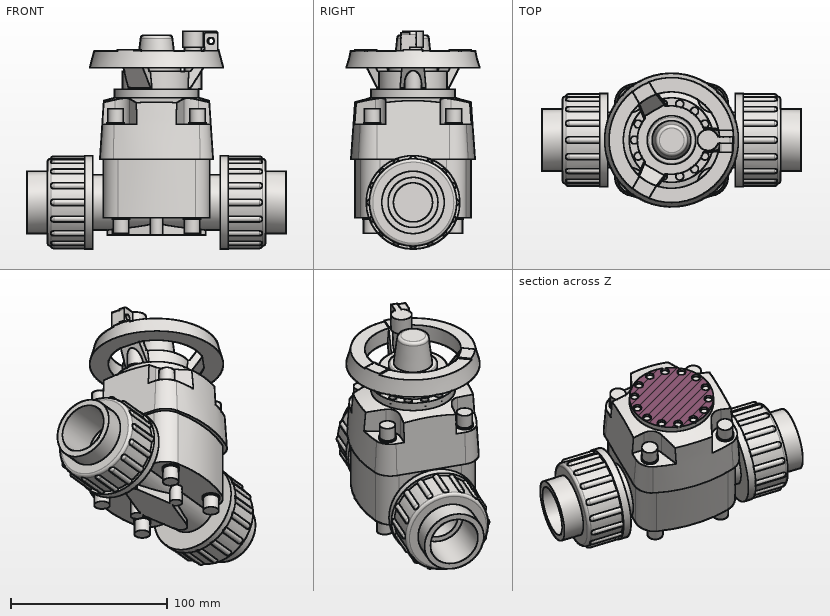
import cadquery as cq
import math


TOTAL_LENGTH = 166.0
TOTAL_HEIGHT = 139.8
PIPE_DIAMETER = 40.0
SOCKET_DIAMETER = 32.0
SOCKET_DEPTH = 29.9
BORE_DIAMETER = 25.0
BORE_DEPTH = 41.5
NECK_DIAMETER = 35.7

NUT_OUTER_X = 69.9
NUT_INNER_X = 40.8
NUT_DIAMETER = 56.0
NUT_FLANGE_DIAMETER = 60.0
NUT_FLANGE_WIDTH = 5.1
NUT_EDGE_RADIUS = 2.0
RIB_COUNT = 16
RIB_DIAMETER = 4.2
RIB_TIP_RADIUS = 29.5

BODY_BOTTOM_Z = -10.0
BODY_TOP_Z = 27.5
BONNET_SHOULDER_Z = 50.1

BODY_OUTLINE = (34.2, 37.4, 21.2, (24.9, 33.9))
BONNET_LOWER_OUTLINE = (36.4, 39.8, 23.2, (27.9, 35.2))
BONNET_UPPER_OUTLINE = (33.7, 37.0, 23.2, (26.9, 33.0))

FLANGE_BOTTOM_Z = 67.0
FLANGE_TOP_Z = 72.5
FLANGE_RADIUS = 27.0
BONNET_ROOF_ANGLE = 15.5

POCKET_CENTER_X = 26.7
POCKET_CENTER_Y = 27.5
POCKET_RADIUS = 10.0
POCKET_WALL_TILT = 20.0
POCKET_REACH = 24.9

BOLT_DIAMETER = 10.1
BOLT_COLLAR_DIAMETER = 11.1
BOLT_COLLAR_HEIGHT = 1.0
BOLT_HEIGHT = 10.0
UPPER_BOLT = (26.2, 26.0)
LOWER_BOLT = (22.7, 26.7)

INDEX_HOLE_COUNT = 14
INDEX_HOLE_DIAMETER = 5.0
INDEX_CIRCLE_RADIUS = 23.7
INDEX_HOLE_DEPTH = 3.3

FOOT_BOTTOM_Z = -20.9
FOOT_PLATE_HALF_LENGTH = 28.4
FOOT_PLATE_TIP_Y = 12.0
FOOT_PLATE_END_Y = 4.5
FOOT_POST_DIAMETER = 8.1
FOOT_POST_X = 27.5
FOOT_POST_Y = 15.1

HUB_RADIUS = 21.9
HUB_TOP_Z = 84.0
WHEEL_BOTTOM_Z = 86.2
WHEEL_TOP_Z = 97.1
WHEEL_BOTTOM_RADIUS = 85.8 / 2
WHEEL_TOP_RADIUS = 40.0
WHEEL_INNER_RADIUS = 30.9
SPOKE_ANGLES = (0, 120, 240)
SPOKE_TOP_Z = 98.0
SPOKE_TOP_WIDTH = 12.3
SPOKE_DRAFT_ANGLE = 5.0
SPOKE_BOTTOM_Z = 73.5

STEM_COLLAR_DIAMETER = 31.2
STEM_COLLAR_HEIGHT = 3.0
STEM_COLLAR_FILLET = 0.8
STEM_BOTTOM_RADIUS = 12.5
STEM_SHOULDER_RADIUS = 10.0
STEM_TOP_Z = 107.2
STEM_FILLET = 2.3

LOCK_X = 23.4
LOCK_PIN_DIAMETER = 11.0
LOCK_HEAD_DIAMETER = 13.5
LOCK_HEAD_BOTTOM_Z = 99.3
LOCK_TOP_Z = TOTAL_HEIGHT - NUT_FLANGE_DIAMETER / 2
LOCK_TAB_END_X = 39.3
LOCK_TAB_THICKNESS = 4.0
LOCK_TAB_FILLET = 2.0
LUG_START_X = 30.7
LUG_OUTER_Y = -7.8
LUG_TOP_Z = 108.7
LUG_FILLET = 1.0
LOCK_HOLE_DIAMETER = 4.2
LUG_HOLE_X = 34.7
TAB_HOLE_X = 35.4
LOCK_HOLE_Z = 103.5


def cylinder_z(diameter, z_bottom, z_top, x=0, y=0):
    return (
        cq.Workplane("XY", origin=(x, y, z_bottom))
        .circle(diameter / 2)
        .extrude(z_top - z_bottom)
    )


def cylinder_x(diameter, x_start, x_end):
    return (
        cq.Workplane("YZ", origin=(x_start, 0, 0))
        .circle(diameter / 2)
        .extrude(x_end - x_start)
    )


def box_between(x_range, y_range, z_range):
    sizes = [high - low for low, high in (x_range, y_range, z_range)]
    corner = (x_range[0], y_range[0], z_range[0])
    return cq.Workplane("XY", origin=corner).box(*sizes, centered=False)


def both_ends(shape):
    return shape.union(shape.mirror("YZ"))


def four_corners(shape):
    half = shape.union(shape.mirror("YZ"))
    return half.union(half.mirror("XZ"))


def union_nut():
    """Nut on the -X side with round-ended grip ribs."""
    flange_x = -NUT_INNER_X - NUT_FLANGE_WIDTH
    nut = cylinder_x(NUT_DIAMETER, -NUT_OUTER_X, -NUT_INNER_X)
    nut = nut.faces("<X").edges().fillet(NUT_EDGE_RADIUS)
    nut = nut.union(cylinder_x(NUT_FLANGE_DIAMETER, flange_x, -NUT_INNER_X))

    rib_radius = RIB_DIAMETER / 2
    rib_start = NUT_EDGE_RADIUS - NUT_OUTER_X + rib_radius
    rib = cylinder_x(RIB_DIAMETER, rib_start, flange_x)
    rib = rib.union(cq.Workplane("XY").sphere(rib_radius).translate((rib_start, 0, 0)))
    rib = rib.translate((0, 0, RIB_TIP_RADIUS - rib_radius))
    for i in range(RIB_COUNT):
        nut = nut.union(rib.rotate((0, 0, 0), (1, 0, 0), 360 / RIB_COUNT * i))
    return nut


def pipe_run():
    half_length = TOTAL_LENGTH / 2
    pipe = cylinder_x(PIPE_DIAMETER, -half_length, -NUT_INNER_X)
    run = both_ends(pipe.union(union_nut()))
    return run.union(cylinder_x(NECK_DIAMETER, -NUT_INNER_X, NUT_INNER_X))


def pipe_bores():
    half_length = TOTAL_LENGTH / 2
    socket = cylinder_x(SOCKET_DIAMETER, -half_length, SOCKET_DEPTH - half_length)
    bore = cylinder_x(BORE_DIAMETER, -half_length, BORE_DEPTH - half_length)
    return both_ends(socket.union(bore))


def housing_outline(plane, half_x, half_y, flat_y, shoulder):
    """Flat ends at +-half_x, bulging sides reaching +-half_y, round corners ending at shoulder."""
    shoulder_x, shoulder_y = shoulder
    run = half_x - shoulder_x
    rise = shoulder_y - flat_y
    radius = (run**2 + rise**2) / (2 * run)
    half_angle = math.atan2(rise, radius - run) / 2
    corner_x = half_x - radius + radius * math.cos(half_angle)
    corner_y = flat_y + radius * math.sin(half_angle)
    return (
        plane.moveTo(half_x, -flat_y)
        .lineTo(half_x, flat_y)
        .threePointArc((corner_x, corner_y), (shoulder_x, shoulder_y))
        .threePointArc((0, half_y), (-shoulder_x, shoulder_y))
        .threePointArc((-corner_x, corner_y), (-half_x, flat_y))
        .lineTo(-half_x, -flat_y)
        .threePointArc((-corner_x, -corner_y), (-shoulder_x, -shoulder_y))
        .threePointArc((0, -half_y), (shoulder_x, -shoulder_y))
        .threePointArc((corner_x, -corner_y), (half_x, -flat_y))
        .close()
    )


def body():
    plane = cq.Workplane("XY", origin=(0, 0, BODY_BOTTOM_Z))
    outline = housing_outline(plane, *BODY_OUTLINE)
    return outline.extrude(BODY_TOP_Z - BODY_BOTTOM_Z)


def bonnet_pocket():
    """Bolt recess at the +X +Y corner: round inner end with one flared wall."""
    tilt = math.radians(POCKET_WALL_TILT)
    tangent_x = POCKET_CENTER_X - POCKET_RADIUS * math.cos(tilt)
    tangent_y = POCKET_CENTER_Y - POCKET_RADIUS * math.sin(tilt)
    mid_angle = math.radians((270 + 180 + POCKET_WALL_TILT) / 2)
    arc_middle = (
        POCKET_CENTER_X + POCKET_RADIUS * math.cos(mid_angle),
        POCKET_CENTER_Y + POCKET_RADIUS * math.sin(mid_angle),
    )
    far_x = POCKET_CENTER_X + POCKET_REACH
    far_y = POCKET_CENTER_Y + POCKET_REACH
    flared_x = tangent_x - (far_y - tangent_y) * math.tan(tilt)
    return (
        cq.Workplane("XY", origin=(0, 0, BONNET_SHOULDER_Z))
        .moveTo(far_x, POCKET_CENTER_Y - POCKET_RADIUS)
        .lineTo(POCKET_CENTER_X, POCKET_CENTER_Y - POCKET_RADIUS)
        .threePointArc(arc_middle, (tangent_x, tangent_y))
        .lineTo(flared_x, far_y)
        .lineTo(far_x, far_y)
        .close()
        .extrude(FLANGE_BOTTOM_Z - BONNET_SHOULDER_Z)
    )


def bonnet():
    height = FLANGE_BOTTOM_Z - BODY_TOP_Z
    plane = cq.Workplane("XY", origin=(0, 0, BODY_TOP_Z))
    lower = housing_outline(plane, *BONNET_LOWER_OUTLINE)
    shell = housing_outline(lower.workplane(offset=height), *BONNET_UPPER_OUTLINE)
    shell = shell.loft(ruled=True, combine=True)

    roof_reach = 2 * FLANGE_RADIUS
    roof_drop = (roof_reach - FLANGE_RADIUS) * math.tan(math.radians(BONNET_ROOF_ANGLE))
    roof = (
        cq.Workplane("XZ")
        .moveTo(0, BODY_TOP_Z)
        .lineTo(roof_reach, BODY_TOP_Z)
        .lineTo(roof_reach, FLANGE_BOTTOM_Z - roof_drop)
        .lineTo(FLANGE_RADIUS, FLANGE_BOTTOM_Z)
        .lineTo(0, FLANGE_BOTTOM_Z)
        .close()
        .revolve(360, (0, 0, 0), (0, 1, 0))
    )
    shell = shell.intersect(roof).cut(four_corners(bonnet_pocket()))

    flange = cylinder_z(2 * FLANGE_RADIUS, BONNET_SHOULDER_Z, FLANGE_TOP_Z)
    flange = flange.cut(four_corners(bonnet_pocket()))
    holes = (
        cq.Workplane("XY", origin=(0, 0, FLANGE_TOP_Z - INDEX_HOLE_DEPTH))
        .polarArray(INDEX_CIRCLE_RADIUS, 0, 360, INDEX_HOLE_COUNT)
        .circle(INDEX_HOLE_DIAMETER / 2)
        .extrude(INDEX_HOLE_DEPTH)
    )
    return shell.union(flange).cut(holes)


def bolts():
    x, y = UPPER_BOLT
    base = BONNET_SHOULDER_Z
    upper = cylinder_z(BOLT_DIAMETER, base, base + BOLT_HEIGHT, x, y)
    upper = upper.union(cylinder_z(BOLT_COLLAR_DIAMETER, base, base + BOLT_COLLAR_HEIGHT, x, y))
    x, y = LOWER_BOLT
    base = BODY_BOTTOM_Z
    lower = cylinder_z(BOLT_DIAMETER, base - BOLT_HEIGHT, base, x, y)
    lower = lower.union(cylinder_z(BOLT_COLLAR_DIAMETER, base - BOLT_COLLAR_HEIGHT, base, x, y))
    return four_corners(upper.union(lower))


def foot():
    """Diamond-shaped plate below the pipe with a round post at each of its four tips."""
    x, tip_y, end_y = FOOT_PLATE_HALF_LENGTH, FOOT_PLATE_TIP_Y, FOOT_PLATE_END_Y
    plate = (
        cq.Workplane("XY", origin=(0, 0, FOOT_BOTTOM_Z))
        .polyline([(x, end_y), (0, tip_y), (-x, end_y), (-x, -end_y), (0, -tip_y), (x, -end_y)])
        .close()
        .extrude(BODY_BOTTOM_Z - FOOT_BOTTOM_Z)
    )
    end_posts = [(side * FOOT_POST_X, 0) for side in (-1, 1)]
    side_posts = [(0, side * FOOT_POST_Y) for side in (-1, 1)]
    for post_x, post_y in end_posts + side_posts:
        plate = plate.union(
            cylinder_z(FOOT_POST_DIAMETER, FOOT_BOTTOM_Z, BODY_BOTTOM_Z, post_x, post_y)
        )
    return plate


def spoke():
    """Spoke along +X sloping from the hub up into the rim, its sides drafted outwards downwards."""
    root = HUB_RADIUS / 2
    tip = (WHEEL_INNER_RADIUS + WHEEL_TOP_RADIUS) / 2
    slope = (SPOKE_TOP_Z - HUB_TOP_Z) / (WHEEL_INNER_RADIUS - HUB_RADIUS)
    knee_x = HUB_RADIUS + (WHEEL_BOTTOM_Z - SPOKE_BOTTOM_Z) / slope
    profile = (
        cq.Workplane("XZ")
        .moveTo(root, SPOKE_BOTTOM_Z)
        .lineTo(HUB_RADIUS, SPOKE_BOTTOM_Z)
        .lineTo(knee_x, WHEEL_BOTTOM_Z)
        .lineTo(tip, WHEEL_BOTTOM_Z)
        .lineTo(tip, SPOKE_TOP_Z)
        .lineTo(WHEEL_INNER_RADIUS, SPOKE_TOP_Z)
        .lineTo(HUB_RADIUS, HUB_TOP_Z)
        .lineTo(root, HUB_TOP_Z)
        .close()
        .extrude(HUB_RADIUS, both=True)
    )
    top_half = SPOKE_TOP_WIDTH / 2
    flare = (SPOKE_TOP_Z - SPOKE_BOTTOM_Z) * math.tan(math.radians(SPOKE_DRAFT_ANGLE))
    section = (
        cq.Workplane("YZ")
        .moveTo(-top_half - flare, SPOKE_BOTTOM_Z)
        .lineTo(top_half + flare, SPOKE_BOTTOM_Z)
        .lineTo(top_half, SPOKE_TOP_Z)
        .lineTo(-top_half, SPOKE_TOP_Z)
        .close()
        .extrude(WHEEL_BOTTOM_RADIUS)
    )
    return profile.intersect(section)


def rim():
    """Tapered ring whose top stands proud only where the spokes cross it."""
    taper = (WHEEL_BOTTOM_RADIUS - WHEEL_TOP_RADIUS) / (WHEEL_TOP_Z - WHEEL_BOTTOM_Z)
    pad_radius = WHEEL_TOP_RADIUS - taper * (SPOKE_TOP_Z - WHEEL_TOP_Z)
    ring = (
        cq.Workplane("XZ")
        .moveTo(WHEEL_INNER_RADIUS, WHEEL_BOTTOM_Z)
        .lineTo(WHEEL_BOTTOM_RADIUS, WHEEL_BOTTOM_Z)
        .lineTo(pad_radius, SPOKE_TOP_Z)
        .lineTo(WHEEL_INNER_RADIUS, SPOKE_TOP_Z)
        .close()
        .revolve(360, (0, 0, 0), (0, 1, 0))
    )
    recess = cylinder_z(2 * WHEEL_BOTTOM_RADIUS, WHEEL_TOP_Z, SPOKE_TOP_Z)
    pad = box_between(
        (0, WHEEL_BOTTOM_RADIUS),
        (-SPOKE_TOP_WIDTH / 2, SPOKE_TOP_WIDTH / 2),
        (WHEEL_TOP_Z, SPOKE_TOP_Z),
    )
    for angle in SPOKE_ANGLES:
        recess = recess.cut(pad.rotate((0, 0, 0), (0, 0, 1), angle))
    return ring.cut(recess)


def handwheel():
    wheel = rim().union(cylinder_z(2 * HUB_RADIUS, FLANGE_TOP_Z, HUB_TOP_Z))
    for angle in SPOKE_ANGLES:
        wheel = wheel.union(spoke().rotate((0, 0, 0), (0, 0, 1), angle))
    return wheel


def stem():
    collar_top = HUB_TOP_Z + STEM_COLLAR_HEIGHT
    collar = cylinder_z(STEM_COLLAR_DIAMETER, HUB_TOP_Z, collar_top)
    collar = collar.faces(">Z").edges().fillet(STEM_COLLAR_FILLET)
    knob = (
        cq.Workplane("XY", origin=(0, 0, collar_top))
        .circle(STEM_BOTTOM_RADIUS)
        .workplane(offset=STEM_TOP_Z - collar_top)
        .circle(STEM_SHOULDER_RADIUS)
        .loft(combine=True)
    )
    return collar.union(knob.faces(">Z").edges().fillet(STEM_FILLET))


def lock_hole(x, y_start, y_end):
    return (
        cq.Workplane("XZ", origin=(x, y_end, LOCK_HOLE_Z))
        .circle(LOCK_HOLE_DIAMETER / 2)
        .extrude(y_end - y_start)
    )


def locking_pin():
    """Headed pin whose tab lies against a lug standing on the rim."""
    pin = cylinder_z(LOCK_PIN_DIAMETER, FLANGE_TOP_Z, LOCK_HEAD_BOTTOM_Z, LOCK_X)
    head = cylinder_z(LOCK_HEAD_DIAMETER, LOCK_HEAD_BOTTOM_Z, LOCK_TOP_Z, LOCK_X)
    half = LOCK_TAB_THICKNESS / 2
    tab = box_between((LOCK_X, LOCK_TAB_END_X), (-half, half), (LOCK_HEAD_BOTTOM_Z, LOCK_TOP_Z))
    tab = tab.edges(">X and >Z").fillet(LOCK_TAB_FILLET)
    tab = tab.cut(lock_hole(TAB_HOLE_X, -half, half))
    lug = box_between((LUG_START_X, LOCK_TAB_END_X), (LUG_OUTER_Y, -half), (WHEEL_TOP_Z, LUG_TOP_Z))
    lug = lug.faces(">Z").edges("|Y").fillet(LUG_FILLET)
    lug = lug.cut(lock_hole(LUG_HOLE_X, LUG_OUTER_Y, -half))
    return pin.union(head).union(tab).union(lug)


result = (
    pipe_run()
    .union(body())
    .union(bonnet())
    .union(foot())
    .cut(pipe_bores())
    .union(bolts())
    .union(handwheel())
    .union(stem())
    .union(locking_pin())
)